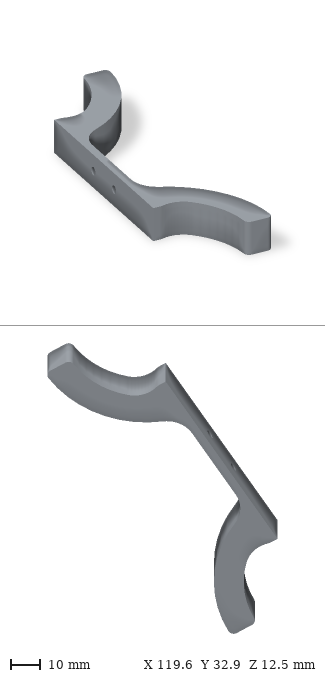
import cadquery as cq
import math

length = 119.6
depth = 32.9
height = 12.5
base_length = 71.8
floor_thickness = 3.0
arm_outer_radius = 40.0
arm_thickness = 10.0
tip_radius = 2.0
floor_blend_radius = 10.0
neck_radius = 10.0
neck_height = 6.6
foot_radius = 5.0
hole_diameter = 3.0
hole_spacing = 15.0

half_length = length / 2
half_base = base_length / 2
arm_inner_radius = arm_outer_radius - arm_thickness


def toward(start, end, distance):
    """Point at a distance from start along the direction to end."""
    span = math.dist(start, end)
    return tuple(s + (e - s) * distance / span for s, e in zip(start, end))


def arc_to(path, center, radius, start, end):
    """Append the minor arc about center from start to end."""
    middle = ((start[0] + end[0]) / 2, (start[1] + end[1]) / 2)
    return path.threePointArc(toward(center, middle, radius), end)


tip_x = half_length - tip_radius
outer_tip = (tip_x, depth - tip_radius)
arm_rise = math.sqrt((arm_outer_radius - tip_radius) ** 2 - tip_radius ** 2)
arm = (half_length, outer_tip[1] - arm_rise)
inner_tip_rise = math.sqrt((arm_inner_radius + tip_radius) ** 2 - tip_radius ** 2)
inner_tip = (tip_x, arm[1] + inner_tip_rise)

blend_y = floor_thickness + floor_blend_radius
blend_reach = arm_outer_radius + floor_blend_radius
blend = (arm[0] - math.sqrt(blend_reach ** 2 - (blend_y - arm[1]) ** 2), blend_y)

neck_reach = arm_inner_radius - neck_radius
neck_offset = math.sqrt(neck_reach ** 2 - (neck_height - arm[1]) ** 2)
neck = (arm[0] - neck_offset, neck_height)

foot_x = half_base - foot_radius
foot_drop = math.sqrt((neck_radius + foot_radius) ** 2 - (neck[0] - foot_x) ** 2)
foot = (foot_x, neck_height - foot_drop)

floor_end = (blend[0], floor_thickness)
blend_end = toward(arm, blend, arm_outer_radius)
outer_end = toward(arm, outer_tip, arm_outer_radius)
tip_top = (half_length, outer_tip[1])
tip_bottom = (half_length, inner_tip[1])
inner_end = toward(arm, inner_tip, arm_inner_radius)
neck_start = toward(arm, neck, arm_inner_radius)
neck_end = toward(neck, foot, neck_radius)
foot_end = (half_base, foot[1])


def half_bracket():
    """Right half of the bracket, from the middle plane to the arm tip."""
    path = cq.Workplane("XY").moveTo(0, 0).lineTo(0, floor_thickness).lineTo(*floor_end)
    path = arc_to(path, blend, floor_blend_radius, floor_end, blend_end)
    path = arc_to(path, arm, arm_outer_radius, blend_end, outer_end)
    path = arc_to(path, outer_tip, tip_radius, outer_end, tip_top)
    path = path.lineTo(*tip_bottom)
    path = arc_to(path, inner_tip, tip_radius, tip_bottom, inner_end)
    path = arc_to(path, arm, arm_inner_radius, inner_end, neck_start)
    path = arc_to(path, neck, neck_radius, neck_start, neck_end)
    path = arc_to(path, foot, foot_radius, neck_end, foot_end)
    return path.lineTo(half_base, 0).close().extrude(height)


def screw_holes():
    """Two holes along Y through the web."""
    return (
        cq.Workplane("XZ")
        .pushPoints([(side * hole_spacing / 2, height / 2) for side in (-1, 1)])
        .circle(hole_diameter / 2)
        .extrude(-depth)
    )


right_half = half_bracket()
bracket = right_half.union(right_half.mirror("YZ")).clean()
result = bracket.cut(screw_holes())